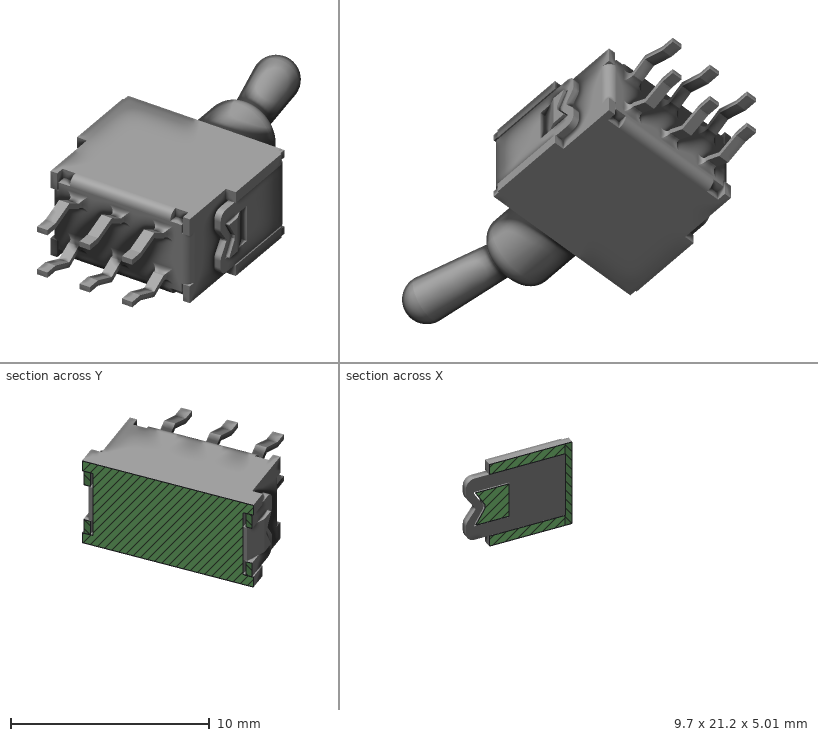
import cadquery as cq
import math


CASE_HEIGHT = 5.01
CASE_WIDTH = 8.33
SHOULDER_WIDTH = 9.5
SHOULDER_START = 3.38
CASE_LENGTH = 7.64

CRIMP_DEPTH = 0.5
CRIMP_TOP_WIDTH = 6.0
CRIMP_SIDE_HEIGHT = 3.0
SIDE_WALL = 0.4
BASE_GAP = 0.08

TERMINAL_PITCH = 2.54
TERMINAL_ROW_Z = 1.27
TERMINAL_WIDTH = 0.61
TERMINAL_THICKNESS = 0.32
TERMINAL_BENDS = [0.38, 1.25, 2.54]
TERMINAL_LENGTH = 3.3
TERMINAL_OFFSET = 0.49
MENISCUS_RADIUS = 0.3

SHEET = 0.38
BRACKET_WIDTH = 9.35
LEG_HEIGHT = 3.75
LEG_END = 2.1
LEG_CORNER_RADIUS = 0.49
NOTCH_DEPTH = 0.53
NOTCH_HALF_HEIGHT = 0.78
NOTCH_TIP = 0.05
BEND_RADIUS = 0.25
RELIEF_WIDTH = 0.2
WINDOW_HEIGHT = 2.1
WINDOW_START = 2.54
WINDOW_END = 4.53

LATCH_SPAN = 9.7
LATCH_CLEARANCE = 0.05
LATCH_RAMP_SPAN = 8.75
LATCH_POINT_DEPTH = 0.5
LATCH_POINT_TIP = 0.1
LATCH_POINT_FOOT = 0.95
LATCH_POINT_GAP = 0.08

BUSHING_DIAMETER = 4.0
BORE_DIAMETER = 2.65
BUSHING_TOP = 12.01
CROWN_START = 11.08
FLARE_RADIUS = 0.55
FLARE_HEIGHT = 0.5
LEVER_TILT = 12.5
LEVER_PIVOT_Y = 10.58
LEVER_ROOT = 1.27
LEVER_BALL = 6.18
LEVER_ROOT_RADIUS = 0.95
LEVER_BALL_RADIUS = 1.25

PLATE_TOP = CASE_LENGTH + SHEET
SIDES = (-1, 1)


def block(x_range, y_range, z_range):
    """Axis-aligned block between the given limits."""
    sizes = [high - low for low, high in (x_range, y_range, z_range)]
    return cq.Workplane("XY").box(*sizes, centered=False).translate(
        (x_range[0], y_range[0], z_range[0])
    )


def centred(size):
    return (-size / 2, size / 2)


def sided(side, inner, outer):
    """Range from inner to outer on the negative or positive side."""
    return tuple(sorted((side * inner, side * outer)))


def extrude_x(outline, x_range):
    """Prism along X from an outline given as a function of a YZ workplane."""
    return outline(cq.Workplane("YZ", origin=(x_range[0], 0, 0))).extrude(x_range[1] - x_range[0])


def v_end_points(start, end, half_height, foot, tip, depth):
    """YZ outline of a plate whose -Y end at `start` has a V notch of the given depth."""
    upper = [(end, half_height), (start, half_height), (start, foot), (start + depth, tip)]
    lower = [(y, -z) for y, z in reversed(upper)]
    return upper + lower


def window_points(clearance, end_gap):
    """YZ outline of the leg window, shrunk by a clearance and shortened at its V end."""
    return v_end_points(
        WINDOW_START + end_gap,
        WINDOW_END - clearance,
        WINDOW_HEIGHT / 2 - clearance,
        LATCH_POINT_FOOT,
        LATCH_POINT_TIP,
        LATCH_POINT_DEPTH,
    )


def crimped_rim(case):
    """Round the four folded tabs and cut the notches and gaps between them."""
    half_width = CASE_WIDTH / 2
    half_height = CASE_HEIGHT / 2
    base_z = half_height - CRIMP_DEPTH
    base_x = half_width - CRIMP_DEPTH
    inner_wall = half_width - SIDE_WALL
    notch_y = (0, CRIMP_DEPTH)
    for side in SIDES:
        for end in SIDES:
            case = case.cut(block(
                sided(end, CRIMP_TOP_WIDTH / 2, inner_wall), notch_y, sided(side, base_z, half_height)
            ))
            case = case.cut(block(
                sided(side, inner_wall - BASE_GAP, inner_wall),
                notch_y,
                sided(end, CRIMP_SIDE_HEIGHT / 2, half_height),
            ))
        fold_z = (
            block(centred(CRIMP_TOP_WIDTH), notch_y, sided(side, base_z, half_height))
            .cut(cq.Workplane("YZ").center(CRIMP_DEPTH, side * base_z)
                 .circle(CRIMP_DEPTH).extrude(CRIMP_TOP_WIDTH, both=True))
        )
        fold_x = (
            block(sided(side, base_x, half_width), notch_y, centred(CRIMP_SIDE_HEIGHT))
            .cut(cq.Workplane("XY").center(side * base_x, CRIMP_DEPTH)
                 .circle(CRIMP_DEPTH).extrude(CRIMP_SIDE_HEIGHT, both=True))
        )
        case = case.cut(fold_z).cut(fold_x)
    return case


def latch(side):
    """Ramped block that reaches through the leg window, with a V notch in its free end."""
    outer = LATCH_SPAN / 2
    inner = CASE_WIDTH / 2
    points = window_points(LATCH_CLEARANCE, LATCH_POINT_GAP)
    body = extrude_x(lambda plane: plane.polyline(points).close(), sided(side, inner, outer))
    ramp = (
        cq.Workplane("XY")
        .polyline([
            (side * outer, SHOULDER_START),
            (side * outer, WINDOW_END),
            (side * LATCH_RAMP_SPAN / 2, WINDOW_END),
        ])
        .close()
        .extrude(WINDOW_HEIGHT, both=True)
    )
    return body.cut(ramp)


def case_body():
    case = block(centred(CASE_WIDTH), (0, CASE_LENGTH), centred(CASE_HEIGHT))
    case = crimped_rim(case)
    for side in SIDES:
        for end in SIDES:
            case = case.union(block(
                sided(side, CASE_WIDTH / 2, SHOULDER_WIDTH / 2),
                (SHOULDER_START, CASE_LENGTH),
                sided(end, LEG_HEIGHT / 2, CASE_HEIGHT / 2),
            ))
        case = case.union(latch(side))
    return case


def terminal_strip():
    """Bent terminal of the +Z row, centred on X = 0."""
    first, middle, last = TERMINAL_BENDS
    centre = [
        (0, TERMINAL_ROW_Z),
        (-first, TERMINAL_ROW_Z),
        (-middle, TERMINAL_ROW_Z + TERMINAL_OFFSET),
        (-last, TERMINAL_ROW_Z),
        (-TERMINAL_LENGTH, TERMINAL_ROW_Z),
    ]
    outer = [(y, z + TERMINAL_THICKNESS / 2) for y, z in centre]
    inner = [(y, z - TERMINAL_THICKNESS / 2) for y, z in reversed(centre)]
    return extrude_x(
        lambda plane: plane.polyline(outer + inner).close(), centred(TERMINAL_WIDTH)
    )


def flare_prism(plane, width, length):
    """Prism whose outline narrows from the terminal face to `width` along concave arcs."""
    root = width / 2 + MENISCUS_RADIUS
    reach = MENISCUS_RADIUS
    bow = MENISCUS_RADIUS * (1 - math.sqrt(0.5))
    return (
        cq.Workplane(plane)
        .moveTo(-root, 0)
        .lineTo(root, 0)
        .threePointArc((width / 2 + bow, bow), (width / 2, reach))
        .lineTo(-width / 2, reach)
        .threePointArc((-width / 2 - bow, bow), (-root, 0))
        .close()
        .extrude(length, both=True)
    )


def terminal():
    """Terminal of the +Z row with its square, mitred meniscus collar."""
    across = cq.Plane(origin=(0, 0, 0), xDir=(1, 0, 0), normal=(0, 0, -1))
    along = cq.Plane(origin=(0, 0, 0), xDir=(0, 0, 1), normal=(1, 0, 0))
    collar = flare_prism(across, TERMINAL_WIDTH, TERMINAL_PITCH).intersect(
        flare_prism(along, TERMINAL_THICKNESS, TERMINAL_PITCH)
    )
    return terminal_strip().union(collar.translate((0, 0, TERMINAL_ROW_Z)))


def lever():
    """Tapered, ball-ended lever on a boss that fills the bushing bore."""
    boss = (
        cq.Workplane("XZ", origin=(0, CASE_LENGTH, 0))
        .circle(BORE_DIAMETER / 2)
        .extrude(CASE_LENGTH - BUSHING_TOP)
    )
    handle = (
        cq.Workplane("XY")
        .moveTo(0, LEVER_ROOT)
        .lineTo(LEVER_ROOT_RADIUS, LEVER_ROOT)
        .lineTo(LEVER_BALL_RADIUS, LEVER_BALL)
        .radiusArc((0, LEVER_BALL + LEVER_BALL_RADIUS), -LEVER_BALL_RADIUS)
        .close()
        .revolve(360, (0, 0), (0, 1))
        .rotate((0, 0, 0), (0, 0, 1), LEVER_TILT)
        .translate((0, LEVER_PIVOT_Y, 0))
    )
    return boss.union(handle)


def switch_body():
    switch = case_body().union(lever())
    for column in (-1, 0, 1):
        upper = terminal().translate((column * TERMINAL_PITCH, 0, 0))
        switch = switch.union(upper).union(upper.mirror("XY"))
    return switch


def bracket_leg(side):
    """Leg with a notched, rounded end and a window for the latch."""
    outer = BRACKET_WIDTH / 2
    x_range = sided(side, outer - SHEET, outer)
    outline = v_end_points(
        LEG_END, PLATE_TOP, LEG_HEIGHT / 2, NOTCH_HALF_HEIGHT, NOTCH_TIP, NOTCH_DEPTH
    )
    leg = extrude_x(lambda plane: plane.polyline(outline).close(), x_range)
    margin = NOTCH_DEPTH / 2
    end_edges = cq.selectors.BoxSelector(
        (-BRACKET_WIDTH, LEG_END - margin, -LEG_HEIGHT), (BRACKET_WIDTH, LEG_END + margin, LEG_HEIGHT)
    )
    leg = leg.edges("|X").edges(end_edges).fillet(LEG_CORNER_RADIUS)
    window = extrude_x(lambda plane: plane.polyline(window_points(0, 0)).close(), x_range)
    return leg.cut(window)


def bushing():
    """Turned bushing with a rounded crown and a concave flare onto the plate."""
    radius = BUSHING_DIAMETER / 2
    bore = BORE_DIAMETER / 2
    crown_height = BUSHING_TOP - CROWN_START
    crown_inset = radius - bore
    crown_radius = (crown_height**2 + crown_inset**2) / (2 * crown_inset)
    flare_reach = FLARE_RADIUS - math.sqrt(FLARE_RADIUS**2 - FLARE_HEIGHT**2)
    return (
        cq.Workplane("XY")
        .moveTo(bore, PLATE_TOP)
        .lineTo(radius + flare_reach, PLATE_TOP)
        .radiusArc((radius, PLATE_TOP + FLARE_HEIGHT), FLARE_RADIUS)
        .lineTo(radius, CROWN_START)
        .radiusArc((bore, BUSHING_TOP), -crown_radius)
        .close()
        .revolve(360, (0, 0), (0, 1))
    )


def bracket_body():
    outer = BRACKET_WIDTH / 2
    plate_y = (CASE_LENGTH, PLATE_TOP)
    bracket = block(centred(BRACKET_WIDTH), plate_y, centred(CASE_HEIGHT))
    for side in SIDES:
        bracket = bracket.union(bracket_leg(side))
        bend = block(
            sided(side, outer - BEND_RADIUS, outer),
            (PLATE_TOP - BEND_RADIUS, PLATE_TOP),
            centred(LEG_HEIGHT),
        ).cut(
            cq.Workplane("XY")
            .center(side * (outer - BEND_RADIUS), PLATE_TOP - BEND_RADIUS)
            .circle(BEND_RADIUS)
            .extrude(LEG_HEIGHT, both=True)
        )
        bracket = bracket.cut(bend)
        for end in SIDES:
            bracket = bracket.cut(block(
                sided(side, outer - SHEET, outer),
                plate_y,
                sided(end, LEG_HEIGHT / 2, LEG_HEIGHT / 2 + RELIEF_WIDTH),
            ))
    bore = cq.Workplane("XZ").circle(BORE_DIAMETER / 2).extrude(-BUSHING_TOP)
    return bracket.cut(bore).union(bushing())


switch = switch_body()
bracket = bracket_body()
result = cq.Compound.makeCompound([switch.solids().val(), bracket.solids().val()])